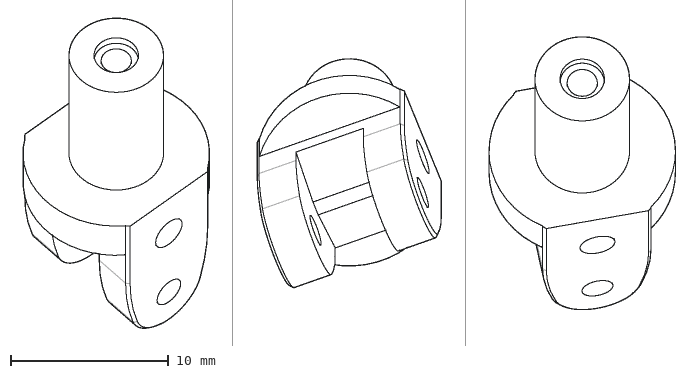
import cadquery as cq
import math

total_height = 22.5
stem_length = 10.0
shoulder_height = total_height - stem_length

stem_diameter = 6.0
counterbore_diameter = 2.81
counterbore_depth = 0.56
bore_diameter = 1.91
bore_depth = 5.0
drill_point_angle = 118.0

fork_width = 10.0
fork_half_depth = 3.5
edge_chamfer = 0.2
flange_diameter = 11.84
flange_thickness = 3.0

tip_radius = 3.0
flank_start_height = 6.65

slot_width = 4.57
slot_mouth_height = 8.08
slot_roof_height = flank_start_height
slot_roof_angle = 25.0

lower_pin_height = tip_radius
lower_pin_diameter = 2.0
upper_pin_height = 9.0
upper_pin_diameter = 2.25


def make_fork_block():
    """Block with the arm outline, chamfered around both outer faces."""
    rise = flank_start_height - tip_radius
    inset = fork_half_depth - tip_radius
    flank_radius = (rise**2 + inset**2) / (2 * inset) + tip_radius
    flank_center_y = fork_half_depth - flank_radius
    join_angle = math.atan2(rise, -flank_center_y)

    join_y = tip_radius * math.cos(join_angle)
    join_z = tip_radius - tip_radius * math.sin(join_angle)
    flank_mid_y = flank_center_y + flank_radius * math.cos(join_angle / 2)
    flank_mid_z = flank_start_height - flank_radius * math.sin(join_angle / 2)

    block = (
        cq.Workplane("YZ")
        .moveTo(-fork_half_depth, shoulder_height)
        .lineTo(-fork_half_depth, flank_start_height)
        .threePointArc((-flank_mid_y, flank_mid_z), (-join_y, join_z))
        .threePointArc((0, 0), (join_y, join_z))
        .threePointArc((flank_mid_y, flank_mid_z), (fork_half_depth, flank_start_height))
        .lineTo(fork_half_depth, shoulder_height)
        .close()
        .extrude(fork_width / 2, both=True)
    )
    outer_edges = block.faces("<X or >X").edges("not(>Z)")
    return outer_edges.chamfer(edge_chamfer)


def make_flange():
    """Round flange cut flat where it meets the chamfers of the fork."""
    flange_bottom = shoulder_height - flange_thickness
    disc = cq.Workplane("XY").workplane(offset=flange_bottom).circle(flange_diameter / 2)
    disc = disc.extrude(flange_thickness)
    flat_width = fork_width - 2 * edge_chamfer
    limits = cq.Workplane("XY").box(flat_width, flange_diameter, 2 * total_height)
    return disc.intersect(limits)


def make_stem():
    stem = cq.Workplane("XY").workplane(offset=shoulder_height)
    return stem.circle(stem_diameter / 2).extrude(stem_length)


def make_slot():
    """Slot whose roof slopes down from both mouths to a narrow flat land."""
    roof_rise = slot_mouth_height - slot_roof_height
    slope_length = roof_rise / math.tan(math.radians(slot_roof_angle))
    land_half_depth = fork_half_depth - slope_length
    return (
        cq.Workplane("YZ")
        .moveTo(-fork_half_depth, 0)
        .lineTo(-fork_half_depth, slot_mouth_height)
        .lineTo(-land_half_depth, slot_roof_height)
        .lineTo(land_half_depth, slot_roof_height)
        .lineTo(fork_half_depth, slot_mouth_height)
        .lineTo(fork_half_depth, 0)
        .close()
        .extrude(slot_width / 2, both=True)
    )


def make_pin_hole(height, diameter):
    hole = cq.Workplane("YZ").center(0, height).circle(diameter / 2)
    return hole.extrude(fork_width, both=True)


def make_stem_bore():
    """Counterbore, bore and conical drill point as one revolved cutter."""
    bore_radius = bore_diameter / 2
    point_depth = bore_radius / math.tan(math.radians(drill_point_angle / 2))
    counterbore_floor = total_height - counterbore_depth
    bore_floor = total_height - bore_depth
    return (
        cq.Workplane("XZ")
        .moveTo(0, total_height)
        .lineTo(counterbore_diameter / 2, total_height)
        .lineTo(counterbore_diameter / 2, counterbore_floor)
        .lineTo(bore_radius, counterbore_floor)
        .lineTo(bore_radius, bore_floor)
        .lineTo(0, bore_floor - point_depth)
        .close()
        .revolve(360, (0, 0, 0), (0, 1, 0))
    )


body = make_fork_block().union(make_flange()).union(make_stem())
body = body.cut(make_slot()).cut(make_stem_bore())
body = body.cut(make_pin_hole(lower_pin_height, lower_pin_diameter))
result = body.cut(make_pin_hole(upper_pin_height, upper_pin_diameter))